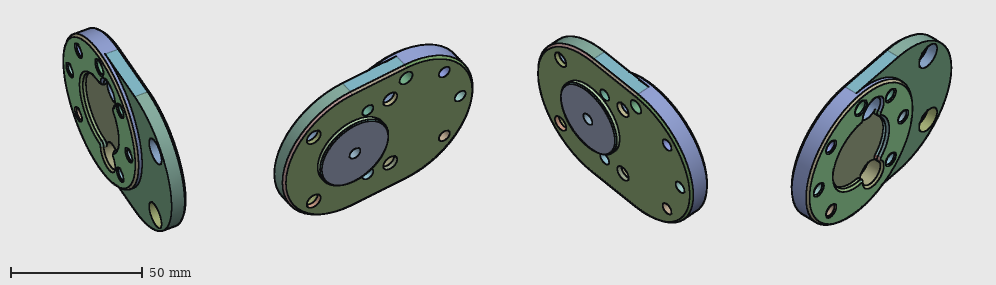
import cadquery as cq
import math

end_radius = 31.5
length = 88.0
end_spacing = length - 2 * end_radius
plate_thickness = 6.5
edge_chamfer = 1.0

disc_height = 2.5
boss_diameter = 31.7
boss_height = 2.0
boss_chamfer = 0.5

recess_diameter = 31.5
recess_depth = 2.3
recess_corner_radius = 2.0

bolt_circle_radius = 25.0
bolt_offset = bolt_circle_radius * math.cos(math.radians(45))
small_hole_diameter = 5.0
pin_hole_diameter = 6.0
hole_chamfer = 0.5
screw_hole_diameter = 6.4
counterbore_diameter = 10.6
seat_thickness = 2.0

disc_front = -disc_height
plate_back = plate_thickness
seat_level = plate_back - seat_thickness
boss_back = plate_back + boss_height

left_screws = [(end_spacing - bolt_offset, z) for z in (-bolt_offset, bolt_offset)]
right_screws = [(end_spacing + bolt_offset, z) for z in (-bolt_offset, bolt_offset)]
small_holes = [(x, z) for x in (-bolt_offset, bolt_offset) for z in (-bolt_offset, bolt_offset)]
small_holes += [(-bolt_circle_radius, 0), (bolt_circle_radius, 0)]
pin_holes = [(0, bolt_circle_radius)]


def cylinders(points, diameter, start, end):
    """Cylinders along Y at the given (x, z) points, from Y = start to Y = end."""
    plane = cq.Workplane("XZ", origin=(0, start, 0))
    return plane.pushPoints(points).circle(diameter / 2).extrude(start - end)


def make_plate():
    plate = (
        cq.Workplane("XZ")
        .center(end_spacing / 2, 0)
        .slot2D(length, 2 * end_radius)
        .extrude(-plate_thickness)
    )
    return plate.faces(">Y").edges().chamfer(edge_chamfer)


def make_boss():
    boss = cylinders([(end_spacing, 0)], boss_diameter, plate_back, boss_back)
    return boss.faces(">Y").edges().chamfer(boss_chamfer)


def make_disc_recess():
    """Round pocket merged with the two screw-head bores, its corners rounded."""
    floor = disc_front + recess_depth
    pocket = cylinders([(0, 0)], recess_diameter, disc_front, floor)
    pocket = pocket.union(cylinders(left_screws, counterbore_diameter, disc_front, floor))
    corners = pocket.edges("|Y").filter(is_recess_corner)
    return corners.fillet(recess_corner_radius)


def is_recess_corner(edge):
    middle = edge.Center()
    on_pocket = math.isclose(math.hypot(middle.x, middle.z), recess_diameter / 2, abs_tol=0.01)
    on_bore = any(
        math.isclose(math.hypot(middle.x - x, middle.z - z), counterbore_diameter / 2, abs_tol=0.01)
        for x, z in left_screws
    )
    return on_pocket and on_bore


def drill_chamfered(body, points, diameter):
    """Through holes in the disc with a chamfered front rim."""
    body = body.cut(cylinders(points, diameter, disc_front, boss_back))
    for x, z in points:
        rim = cq.Solid.makeCone(
            diameter / 2 + hole_chamfer,
            diameter / 2,
            hole_chamfer,
            pnt=cq.Vector(x, disc_front, z),
            dir=cq.Vector(0, 1, 0),
        )
        body = body.cut(cq.Workplane(rim))
    return body


body = make_plate().union(cylinders([(0, 0)], 2 * end_radius, disc_front, plate_back - edge_chamfer))
body = body.cut(make_disc_recess())

body = body.faces("<Y").edges().chamfer(edge_chamfer)
body = body.union(make_boss())

screws = left_screws + right_screws
body = body.cut(cylinders(left_screws, counterbore_diameter, disc_front + recess_depth, seat_level))
body = body.cut(cylinders(right_screws, counterbore_diameter, 0, seat_level))
body = body.cut(cylinders(screws, screw_hole_diameter, seat_level, boss_back))

body = drill_chamfered(body, small_holes, small_hole_diameter)
body = drill_chamfered(body, pin_holes, pin_hole_diameter)

result = body